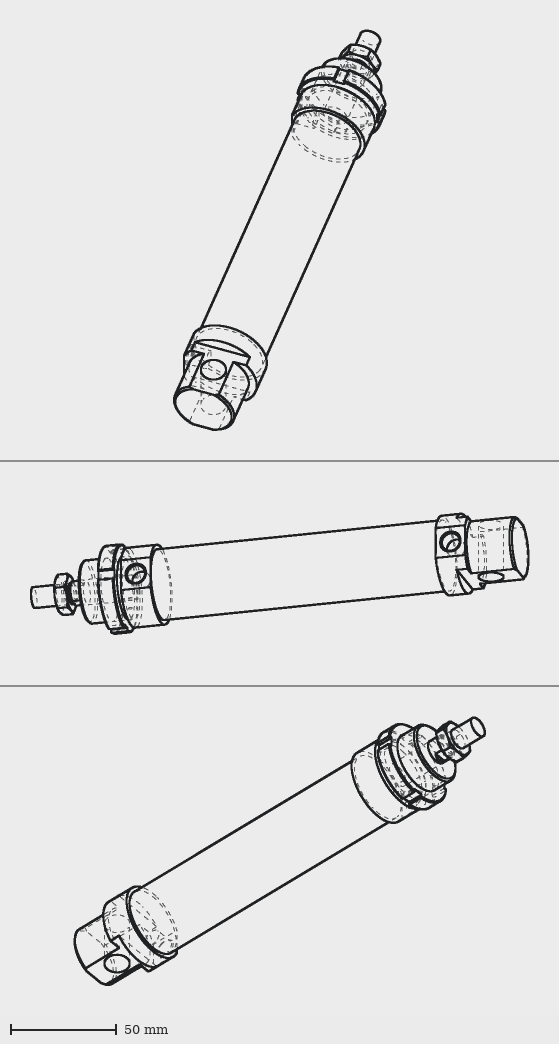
import cadquery as cq
import math

total_length = 239.0

tube_diameter = 33.7
head_diameter = 38.0
head_length = 14.5
rear_head_start = 22.0
front_head_end = 191.2
neck_diameter = 30.0
neck_end = 213.0
end_chamfer = 1.0

lug_thickness = 26.3
lug_flat_length = 27.2
pivot_hole_diameter = 12.0
pivot_hole_y = 14.3

port_flat_distance = 17.5
port_diameter = 8.8
port_mouth_diameter = 10.0
port_depth = 9.5

rod_diameter = 12.0
rod_thread_diameter = 10.0
rod_shoulder_y = 219.5
rod_embedded_length = 24.0
wrench_flat_width = 10.0
wrench_flat_end = 215.3

rod_nut_start = 220.5
rod_nut_thickness = 6.0
rod_nut_across_flats = 17.0
nut_chamfer_angle = 30.0

ring_nut_start = 193.8
ring_nut_thickness = 8.0
ring_nut_diameter = 41.8
ring_nut_chamfer = 0.5
slot_width = 5.0
slot_floor_radius = 19.1
slot_count = 4

rod_start = neck_end - rod_embedded_length


def cylinder_y(diameter, start, end):
    """Solid cylinder on the Y axis between two stations."""
    return cq.Workplane("XZ", origin=(0, start, 0)).circle(diameter / 2).extrude(start - end)


def cut_port(body, port_y):
    """Blind port drilled in +X from the port flat, with a 45-degree mouth."""
    radius = port_diameter / 2
    mouth_radius = port_mouth_diameter / 2
    mouth_depth = mouth_radius - radius
    port = (
        cq.Workplane("XY")
        .polyline([
            (0, 0),
            (0, mouth_radius),
            (mouth_depth, radius),
            (port_depth, radius),
            (port_depth, 0),
        ])
        .close()
        .revolve(360, (0, 0, 0), (1, 0, 0))
        .translate((-port_flat_distance, port_y, 0))
    )
    return body.cut(port)


def make_head(start):
    """Round head with one flat on its -X side."""
    head = cylinder_y(head_diameter, start, start + head_length)
    half_space = cq.Workplane("XY").box(head_diameter, total_length, head_diameter)
    clear_of_flat = half_space.translate((head_diameter / 2 - port_flat_distance, start, 0))
    return head.intersect(clear_of_flat)


def cut_lug_flats(body):
    """Parallel flats above and below the rear lug."""
    for side in (1, -1):
        cutter = (
            cq.Workplane("XY")
            .box(head_diameter, lug_flat_length, head_diameter, centered=(True, False, True))
            .translate((0, 0, side * (lug_thickness + head_diameter) / 2))
        )
        body = body.cut(cutter)
    return body


def make_housing():
    front_head_start = front_head_end - head_length
    rear_head_end = rear_head_start + head_length
    lug = cylinder_y(neck_diameter, 0, rear_head_start).faces("<Y").chamfer(end_chamfer)
    neck = cylinder_y(neck_diameter, front_head_end, neck_end).faces(">Y").chamfer(end_chamfer)
    body = (
        cylinder_y(tube_diameter, rear_head_end, front_head_start)
        .union(make_head(rear_head_start))
        .union(make_head(front_head_start))
        .union(lug)
        .union(neck)
    )
    body = cut_lug_flats(body)
    pivot_hole = (
        cq.Workplane("XY")
        .center(0, pivot_hole_y)
        .circle(pivot_hole_diameter / 2)
        .extrude(lug_thickness, both=True)
    )
    body = body.cut(pivot_hole)
    for head_start in (rear_head_start, front_head_start):
        body = cut_port(body, head_start + head_length / 2)
    return body.cut(cylinder_y(rod_diameter, rod_start, neck_end))


def make_rod():
    shank = cylinder_y(rod_diameter, rod_start, rod_shoulder_y)
    flat_height = wrench_flat_width / 2
    ramp_rise = rod_diameter / 2 - flat_height
    cutter = (
        cq.Workplane("YZ")
        .polyline([
            (rod_shoulder_y, flat_height),
            (wrench_flat_end, flat_height),
            (wrench_flat_end - ramp_rise, rod_diameter / 2),
            (rod_shoulder_y, rod_diameter / 2),
        ])
        .close()
        .extrude(rod_diameter, both=True)
    )
    shank = shank.cut(cutter).cut(cutter.mirror("XY"))
    return shank.union(cylinder_y(rod_thread_diameter, rod_shoulder_y, total_length))


def make_rod_nut():
    """Hexagon with corners along X, its corners turned off by cones at both faces."""
    corner_radius = rod_nut_across_flats / math.sqrt(3)
    face_radius = rod_nut_across_flats / 2
    chamfer_height = (corner_radius - face_radius) * math.tan(math.radians(nut_chamfer_angle))
    hexagon = cq.Workplane("XZ").polygon(6, 2 * corner_radius).extrude(-rod_nut_thickness)
    turned_blank = (
        cq.Workplane("XY")
        .polyline([
            (0, 0),
            (face_radius, 0),
            (corner_radius, chamfer_height),
            (corner_radius, rod_nut_thickness - chamfer_height),
            (face_radius, rod_nut_thickness),
            (0, rod_nut_thickness),
        ])
        .close()
        .revolve(360, (0, 0, 0), (0, 1, 0))
    )
    bore = cylinder_y(rod_thread_diameter, 0, rod_nut_thickness)
    return hexagon.intersect(turned_blank).cut(bore).translate((0, rod_nut_start, 0))


def make_ring_nut():
    ring_end = ring_nut_start + ring_nut_thickness
    ring = cylinder_y(ring_nut_diameter, ring_nut_start, ring_end).edges().chamfer(ring_nut_chamfer)
    ring = ring.cut(cylinder_y(neck_diameter, ring_nut_start, ring_end))
    slot = (
        cq.Workplane("XY")
        .box(ring_nut_diameter, ring_nut_thickness, slot_width, centered=(False, False, True))
        .translate((slot_floor_radius, ring_nut_start, 0))
    )
    for index in range(slot_count):
        ring = ring.cut(slot.rotate((0, 0, 0), (0, 1, 0), index * 360 / slot_count))
    return ring


housing = make_housing()
rod = make_rod()
rod_nut = make_rod_nut()
ring_nut = make_ring_nut()

result = cq.Compound.makeCompound([housing.val(), rod.val(), rod_nut.val(), ring_nut.val()])